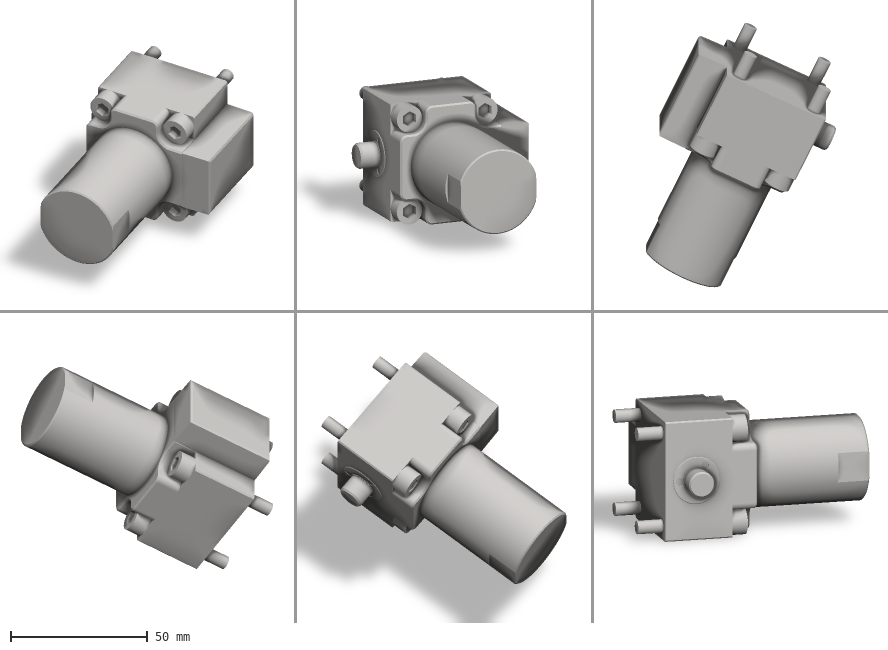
import cadquery as cq
import math


overall_length = 88.5

block_width = 40.0
block_height = 45.0
block_depth = 35.0
block_edge_chamfer = 0.5
face_chamfer = 0.6

screw_shank_diameter = 5.0
screw_head_diameter = 10.0
screw_head_height = 5.8
screw_projection = 9.6
hex_across_flats = 5.05
hex_depth = 3.0
pocket_depth = 9.5
pocket_radius = 5.1
arm_corner_radius = 2.5

barrel_diameter = 31.95
barrel_length = overall_length - screw_projection - block_depth
barrel_chamfer = 0.5
flats_across = 30.0
flats_length = 12.0

pin_y = -11.8
pin_diameter = 9.6
pin_tip_x = -27.8
pin_chamfer_length = 0.8
pin_chamfer_radial = 0.5
disc_diameter = 17.7
disc_thickness = 0.3
disc_chamfer = 0.22
collar_diameter = 10.1
collar_height = 0.6
disc_hole_diameter = 2.8
disc_hole_radius = 6.5
disc_hole_count = 3

connector_height = 24.2
connector_end_x = 31.2
neck_length = 1.6
connector_setback = 0.2
connector_taper = 0.2
connector_chamfer_length = 0.9
connector_chamfer_side = 0.4

side_x = block_width / 2
top_z = block_height / 2
screw_x = side_x - screw_head_diameter / 2
screw_z = top_z - screw_head_diameter / 2
pocket_floor_y = pocket_depth - block_depth
pocket_wall_x = screw_x - pocket_radius
pocket_wall_z = screw_z - pocket_radius
tolerance = 0.01


def box(x_min, x_max, y_min, y_max, height):
    """Box between the given X and Y limits, centred on Z = 0."""
    return (
        cq.Workplane("XY")
        .box(x_max - x_min, y_max - y_min, height, centered=(False, False, True))
        .translate((x_min, y_min, 0))
    )


def rod_y(diameter, y_start, y_end, x=0, z=0):
    """Cylinder along Y from y_start towards -Y down to y_end."""
    return (
        cq.Workplane("XZ", origin=(x, y_start, z))
        .circle(diameter / 2)
        .extrude(y_start - y_end)
    )


def rod_x(diameter, x_start, x_end, y=pin_y, z=0):
    """Cylinder along X from x_start towards -X down to x_end."""
    return (
        cq.Workplane("YZ", origin=(x_start, y, z))
        .circle(diameter / 2)
        .extrude(x_end - x_start)
    )


def is_inner_corner(edge):
    center = edge.Center()
    return abs(center.x) < side_x - tolerance and abs(center.z) < top_z - tolerance


def is_arm_corner(edge):
    """True at the corners of the cross arms, except on the side that meets the connector."""
    return not is_inner_corner(edge) and is_off_connector_side(edge)


def is_off_connector_side(edge):
    return edge.Center().x < side_x - tolerance


def make_block():
    """Rectangular rear part with a cross-shaped front that leaves four screw pockets."""
    rear = box(-side_x, side_x, pocket_floor_y, 0, block_height)
    rear = rear.edges("|Y").chamfer(block_edge_chamfer)

    upright = box(-pocket_wall_x, pocket_wall_x, -block_depth, pocket_floor_y, block_height)
    crossbar = box(-side_x, side_x, -block_depth, pocket_floor_y, 2 * pocket_wall_z)
    cross = upright.union(crossbar)
    cross = cross.edges("|Y").filter(is_inner_corner).fillet(pocket_radius)
    cross = cross.edges("|Y").filter(is_arm_corner).fillet(arm_corner_radius)
    cross = cross.faces("<Y").edges().filter(is_off_connector_side).chamfer(face_chamfer)
    return rear.union(cross)


def make_screw(x, z):
    """Socket head screw whose head sits on the pocket floor and whose shank leaves the rear."""
    head_y = pocket_floor_y - screw_head_height
    shank = rod_y(screw_shank_diameter, screw_projection, pocket_floor_y, x, z)
    head = rod_y(screw_head_diameter, pocket_floor_y, head_y, x, z)
    socket = (
        cq.Workplane("XZ", origin=(x, head_y + hex_depth, z))
        .transformed(rotate=(0, 0, 30))
        .polygon(6, hex_across_flats / math.cos(math.pi / 6))
        .extrude(hex_depth)
    )
    return shank.union(head).cut(socket)


def make_barrel():
    end_y = -block_depth - barrel_length
    barrel = rod_y(barrel_diameter, -block_depth, end_y).faces("<Y").chamfer(barrel_chamfer)
    flats_band = box(-side_x, side_x, end_y, end_y + flats_length, block_height)
    flats_core = box(-flats_across / 2, flats_across / 2, end_y, end_y + flats_length, block_height)
    return barrel.cut(flats_band.cut(flats_core))


def make_pin():
    """Pin with a collar, standing on a thin disc with shallow round holes."""
    disc_x = -side_x - disc_thickness
    disc = rod_x(disc_diameter, -side_x, disc_x).faces("<X").chamfer(disc_chamfer)
    for index in range(disc_hole_count):
        angle = 2 * math.pi * index / disc_hole_count
        hole_y = pin_y + disc_hole_radius * math.cos(angle)
        hole_z = disc_hole_radius * math.sin(angle)
        disc = disc.cut(rod_x(disc_hole_diameter, -side_x, disc_x, hole_y, hole_z))
    collar = rod_x(collar_diameter, -side_x, -side_x - collar_height)
    pin = rod_x(pin_diameter, -side_x, pin_tip_x)
    pin = pin.faces("<X").chamfer(pin_chamfer_length, pin_chamfer_radial)
    return disc.union(collar).union(pin)


def make_connector():
    """Straight neck and a body that narrows slightly in Y towards its chamfered end."""
    neck_end_x = side_x + neck_length
    front_y = -block_depth + connector_setback
    neck = box(side_x, neck_end_x, front_y, 0, connector_height)
    body = (
        cq.Workplane("XY", origin=(0, 0, -connector_height / 2))
        .moveTo(neck_end_x, 0)
        .lineTo(connector_end_x, -connector_taper)
        .lineTo(connector_end_x, front_y + connector_taper)
        .lineTo(neck_end_x, front_y)
        .close()
        .extrude(connector_height)
    )
    body = body.faces(">X").chamfer(connector_chamfer_length, connector_chamfer_side)
    return neck.union(body)


result = make_block().union(make_barrel()).union(make_pin()).union(make_connector())
for side in (-1, 1):
    for level in (-1, 1):
        result = result.union(make_screw(side * screw_x, level * screw_z))